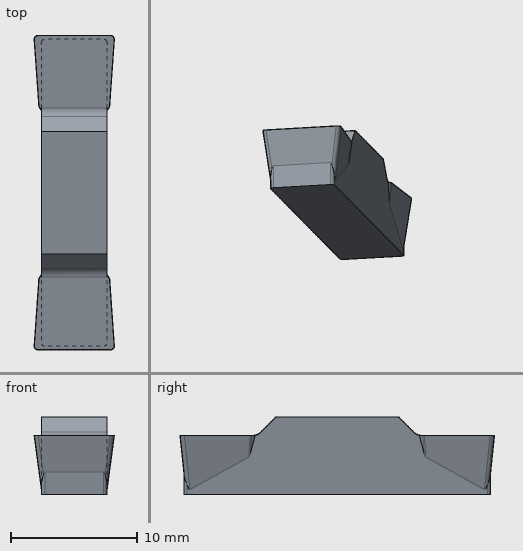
import cadquery as cq
import math

total_length = 24.9
total_height = 6.15
shank_width = 5.2

rake_height = 4.68
hump_top_length = 9.68
hump_slope_angle = 45.0
hump_blend_radius = 0.92

front_land_height = 1.8
front_relief_angle = 6.0
flank_relief_angle = 7.2
flank_back_angle = 4.0
cutting_edge_width = 6.4
head_length = 5.63
rear_face_angle = 58.0
rear_relief = 0.07
core_half_width = 1.5
head_corner_radius = 0.32
shank_corner_radius = 0.27
rear_radius = 0.25


def tan_degrees(angle):
    return math.tan(math.radians(angle))


half_length = total_length / 2
front_relief = tan_degrees(front_relief_angle)
flank_relief = tan_degrees(flank_relief_angle)
shank_half_length = half_length - front_relief * (rake_height - front_land_height)


def make_shank():
    """Shank with its raised hump, as a side profile extruded across the width."""
    slope = math.radians(hump_slope_angle)
    half_slope = slope / 2
    top_y = hump_top_length / 2
    blend_end_z = rake_height + hump_blend_radius * (1 - math.cos(slope))
    blend_end_y = top_y + (total_height - blend_end_z) / math.tan(slope)
    blend_start_y = blend_end_y + hump_blend_radius * math.sin(slope)
    blend_mid_y = blend_start_y - hump_blend_radius * math.sin(half_slope)
    blend_mid_z = rake_height + hump_blend_radius * (1 - math.cos(half_slope))
    profile = (
        cq.Workplane("YZ")
        .moveTo(-shank_half_length, 0)
        .lineTo(shank_half_length, 0)
        .lineTo(shank_half_length, rake_height)
        .lineTo(blend_start_y, rake_height)
        .threePointArc((blend_mid_y, blend_mid_z), (blend_end_y, blend_end_z))
        .lineTo(top_y, total_height)
        .lineTo(-top_y, total_height)
        .lineTo(-blend_end_y, blend_end_z)
        .threePointArc((-blend_mid_y, blend_mid_z), (-blend_start_y, rake_height))
        .lineTo(-shank_half_length, rake_height)
        .close()
    )
    shank = profile.extrude(shank_width / 2, both=True)
    end_corners = shank.faces("<Y or >Y").edges("|Z")
    return end_corners.fillet(shank_corner_radius)


def head_outline(depth):
    """Plan outline of the +Y head at a given depth below its flat top."""
    front_y = half_length - front_relief * depth
    rear_y = half_length - head_length + rear_relief * depth
    flank_back = tan_degrees(flank_back_angle)
    virtual_half_width = cutting_edge_width / 2 - flank_relief * depth
    front_x = virtual_half_width - flank_back * (half_length - front_y)
    rear_x = virtual_half_width - flank_back * (half_length - rear_y)
    core_y = rear_y - (rear_x - core_half_width) * tan_degrees(rear_face_angle)
    return [
        (front_x, front_y),
        (rear_x, rear_y),
        (core_half_width, core_y),
        (-core_half_width, core_y),
        (-rear_x, rear_y),
        (-front_x, front_y),
    ]


def make_head():
    """Flared head at +Y, relieved on all sides below its flat top."""
    head = (
        cq.Workplane("XY")
        .polyline(head_outline(rake_height)).close()
        .workplane(offset=rake_height)
        .polyline(head_outline(0)).close()
        .loft(ruled=True)
    )
    head = head.edges("not(#Z)").edges(">>Y[-2]").fillet(rear_radius)
    return head.edges("not(#Z)").edges(">>Y").fillet(head_corner_radius)


head = make_head()
result = make_shank().union(head).union(head.mirror("XZ"))